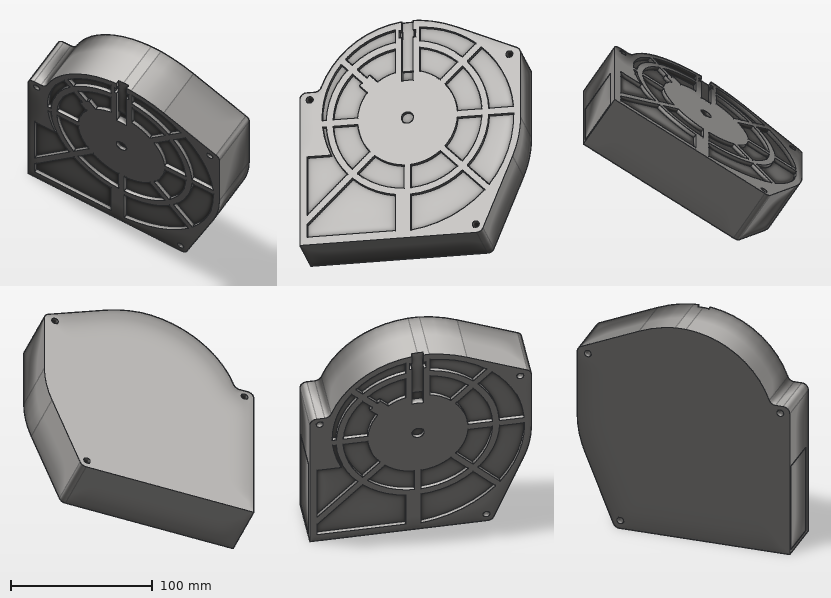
import cadquery as cq


depth = 40.1
width = 159.0
height = 165.0
right_x = 81.5
left_x = right_x - width
top_z = 73.6
bottom_z = top_z - height
shelf_z = 24.6
corner_radius = 5.0
top_flat_end_x = 8.1
left_scroll_mid = (-44.9, 54.1)
left_scroll_end = (-63.4, shelf_z)
right_scroll_mid = (22.0, 71.1)
right_scroll_end = (35.1, 66.5)
right_corner_z = 46.0
low_scroll_start_z = -6.3
low_scroll_mid = (80.0, -21.0)
low_scroll_end = (75.7, -35.3)
foot_x = 53.1

mount_hole_diameter = 5.0
mount_holes = [(-70.5, 19.0), (73.5, 42.5), (49.2, -85.1)]

pocket_depth = 3.0
hub_radius = 36.0
ring_inner_radius = 53.6
ring_outer_radius = 58.5
rib_width = 5.0
lower_rib_width = 4.6
wide_rib_width = 17.3
boss_width = 10.7
boss_end = 43.5
shaft_hole_diameter = 8.5

area_top_left = (-8.5, 67.5)
area_top_right = (8.5, 68.3)
area_upper_right_mid = (51.6, 51.0)
area_right = (76.4, 0)
area_right_mid = (72.8, -29.0)
area_low_right = (57.8, -57.0)
area_bottom_mid = (29.0, -78.5)
area_bottom = (2.3, -86.0)
area_floor_z = bottom_z + 6.0
area_left_x = left_x + 5.3
area_step_z = -24.3
area_step_x = -55.0
area_low_left_mid = (-59.7, -10.7)
area_left = (-61.4, 0)
area_upper_left_mid = (-46.4, 45.9)

slot_width = 8.2
slot_bottom_radius = 28.4
cable_hole_top_z = 36.3
cable_hole_depth = 5.0
latch_width = 11.9
latch_bottom_z = 61.2
latch_top_z = 66.7
latch_depth = 4.5

outlet_depth = 0.2
outlet_front_y = 5.6
outlet_back_y = 37.6
outlet_bottom_z = bottom_z + 2.8
outlet_top_z = -23.0


def front_plane():
    """Sketch plane on the front face, with local Y along +Z and its normal along -Y."""
    return cq.Workplane("XZ")


def bar(x_min, x_max, z_min, z_max, thickness=pocket_depth):
    """Rectangular block that sinks into the body from the front face."""
    center = ((x_min + x_max) / 2, (z_min + z_max) / 2)
    return front_plane().center(*center).rect(x_max - x_min, z_max - z_min).extrude(-thickness)


def disk(radius, thickness=pocket_depth):
    """Disk around the hub axis that sinks into the body from the front face."""
    return front_plane().circle(radius).extrude(-thickness)


def turned(shape, angle):
    """Shape turned about the hub axis, from +X towards +Z."""
    return shape.rotate((0, 0, 0), (0, -1, 0), angle)


def housing():
    outline = (
        front_plane()
        .moveTo(left_x, bottom_z)
        .lineTo(left_x, shelf_z)
        .lineTo(*left_scroll_end)
        .threePointArc(left_scroll_mid, (0, top_z))
        .lineTo(top_flat_end_x, top_z)
        .threePointArc(right_scroll_mid, right_scroll_end)
        .lineTo(right_x, right_corner_z)
        .lineTo(right_x, low_scroll_start_z)
        .threePointArc(low_scroll_mid, low_scroll_end)
        .lineTo(foot_x, bottom_z)
        .close()
    )
    rounded_corners = [
        (left_x, shelf_z),
        left_scroll_end,
        (right_x, right_corner_z),
        (foot_x, bottom_z),
    ]
    body = outline.extrude(-depth)
    for x, z in rounded_corners:
        corner_edge = cq.selectors.NearestToPointSelector((x, depth / 2, z))
        body = body.edges(corner_edge).fillet(corner_radius)
    hole_pins = front_plane().pushPoints(mount_holes).circle(mount_hole_diameter / 2).extrude(-depth)
    return body.cut(hole_pins)


def outer_pocket_area():
    """Everything inside the rim, before the rings and ribs are left standing."""
    return (
        front_plane()
        .moveTo(*area_top_left)
        .lineTo(*area_top_right)
        .threePointArc(area_upper_right_mid, area_right)
        .threePointArc(area_right_mid, area_low_right)
        .threePointArc(area_bottom_mid, area_bottom)
        .lineTo(-wide_rib_width / 2, area_floor_z)
        .lineTo(area_left_x, area_floor_z)
        .lineTo(area_left_x, area_step_z)
        .lineTo(area_step_x, area_step_z)
        .threePointArc(area_low_left_mid, area_left)
        .threePointArc(area_upper_left_mid, area_top_left)
        .close()
        .extrude(-pocket_depth)
    )


def ribs():
    """Material left standing between the pockets, reaching past the housing on every side."""
    half = rib_width / 2
    reach = height
    full_rib = bar(-reach, reach, -half, half)
    standing = full_rib
    for angle in (45, 135):
        standing = standing.union(turned(full_rib, angle))
    standing = standing.union(bar(-wide_rib_width / 2, wide_rib_width / 2, 0, reach))
    standing = standing.union(bar(-lower_rib_width / 2, lower_rib_width / 2, -reach, 0))
    ring_middle_radius = (ring_inner_radius + ring_outer_radius) / 2
    foot_rib = bar(-wide_rib_width / 2, 0, -reach, -ring_middle_radius)
    boss = turned(bar(0, boss_end, -boss_width / 2, boss_width / 2), 135)
    return standing.union(foot_rib).union(boss)


def pockets():
    outer = outer_pocket_area().cut(disk(ring_outer_radius))
    inner = disk(ring_inner_radius).cut(disk(hub_radius))
    return outer.union(inner).cut(ribs())


def cable_slot():
    half = slot_width / 2
    slot = bar(-half, half, cable_hole_top_z, top_z)
    latches = bar(-latch_width / 2, latch_width / 2, latch_bottom_z, latch_top_z, latch_depth)
    latches = latches.cut(bar(-half, half, latch_bottom_z, latch_top_z, latch_depth))
    cable_hole = bar(-half, half, 0, cable_hole_top_z, cable_hole_depth)
    cable_hole = cable_hole.cut(disk(slot_bottom_radius, cable_hole_depth))
    return slot.union(latches).union(cable_hole)


def outlet_panel():
    panel_size = (outlet_depth, outlet_back_y - outlet_front_y, outlet_top_z - outlet_bottom_z)
    corner = (left_x, outlet_front_y, outlet_bottom_z)
    return cq.Workplane("XY").box(*panel_size, centered=False).translate(corner)


shaft_hole = disk(shaft_hole_diameter / 2)
result = housing().cut(pockets()).cut(cable_slot()).cut(shaft_hole).cut(outlet_panel())